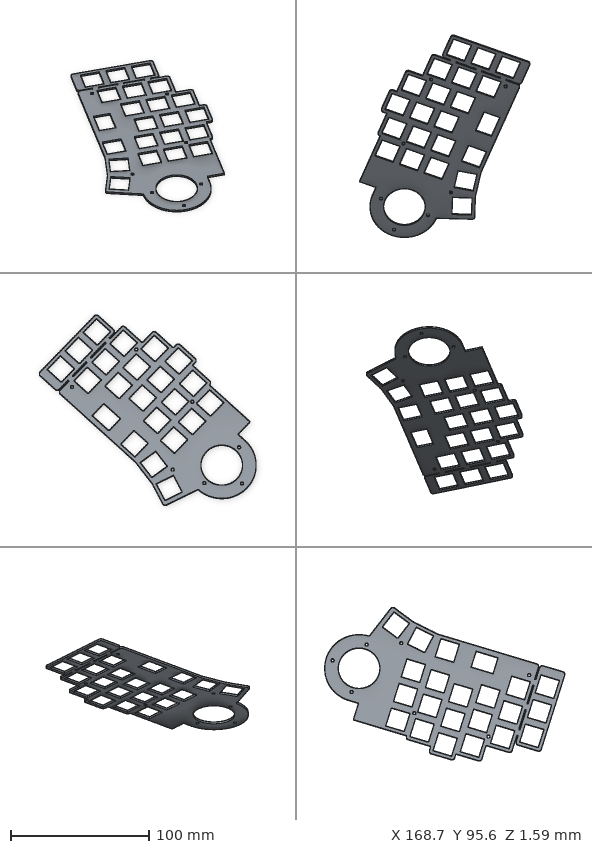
import cadquery as cq
import math

overall_length = 168.7
thickness = 1.59
corner_radius = 2.0
screw_diameter = 2.2

key_size = 14.0
rim = 2.5
key_pitch = 19.0
keys_per_column = 3
cell = key_size + 2 * rim
half_cell = cell / 2

strip_height = 61.6
strip_gap = 0.8
bridge_width = 4.5
bridge_heights = [13.7, 32.5, 52.6]

main_left = cell + strip_gap
column_tops = [68.7, 81.2, 86.2, 81.2, 78.8]
column_lefts = [main_left + i * key_pitch for i in range(len(column_tops))]

wide_opening_center = (58.2, 10.1)
wide_opening_size = (16.5, 12.3)
straight_key_center = (column_lefts[3] + half_cell, half_cell)
inner_thumb_center = (107.5, 7.8)
inner_thumb_angle = 10
outer_thumb_center = (127.7, 2.5)
outer_thumb_angle = 20

ring_radius = 25.0
ring_opening_radius = 15.0
ring_x = overall_length - ring_radius
ring_y = 41.0
ring_left = 136.5
ring_screw_offset_x = 20.0
ring_screw_offset_y = 18.4

plate_screws = [(24.6, 9.6), (39.3, 62.0), (95.7, 61.0), (120.1, 14.2)]
ring_screws = [
    (ring_x, ring_y + ring_screw_offset_y),
    (ring_x, ring_y - ring_screw_offset_y),
    (ring_x + ring_screw_offset_x, ring_y),
]


def turned(center, angle, right, up):
    """Point at (right, up) from a center, in axes turned clockwise by the angle in degrees."""
    a = math.radians(angle)
    x = center[0] + right * math.cos(a) + up * math.sin(a)
    y = center[1] - right * math.sin(a) + up * math.cos(a)
    return (x, y)


def crossing(point_a, angle_a, point_b, angle_b):
    """Crossing of two lines, each through a point and falling to the right at its angle in degrees."""
    fall_a = math.tan(math.radians(angle_a))
    fall_b = math.tan(math.radians(angle_b))
    x = (point_b[1] - point_a[1] + fall_b * point_b[0] - fall_a * point_a[0]) / (fall_b - fall_a)
    return (x, point_a[1] - (x - point_a[0]) * fall_a)


def rounded(plate, points):
    """Round the upright edges that stand at the given outline points."""
    for x, y in points:
        edge = cq.selectors.NearestToPointSelector((x, y, thickness / 2))
        plate = plate.edges("|Z").edges(edge).fillet(corner_radius)
    return plate


def cutter(center, width, height, angle=0):
    """Rectangular through cutter turned clockwise by the angle."""
    block = cq.Workplane("XY").rect(width, height).extrude(thickness)
    return block.rotate((0, 0, 0), (0, 0, 1), -angle).translate((*center, 0))


def key_column(left, top):
    """Key openings stacked downward from a column's top edge."""
    openings = cq.Workplane("XY")
    for row in range(keys_per_column):
        center = (left + half_cell, top - half_cell - row * key_pitch)
        openings = openings.add(cutter(center, key_size, key_size))
    return openings


def main_plate():
    """Stepped plate with the round end and the sloping thumb edge."""
    thumb_foot = turned(inner_thumb_center, inner_thumb_angle, 0, -half_cell)
    tip_foot = turned(outer_thumb_center, outer_thumb_angle, 0, -half_cell)
    ring_foot = (ring_x, ring_y - ring_radius)
    slope_start = crossing(thumb_foot, inner_thumb_angle, (main_left, 0), 0)
    slope_bend = crossing(thumb_foot, inner_thumb_angle, tip_foot, outer_thumb_angle)
    tip = crossing(tip_foot, outer_thumb_angle, ring_foot, outer_thumb_angle - 90)

    rising_corners = list(zip(column_lefts[:3], column_tops[:3]))
    column_rights = [left + cell for left in column_lefts]
    falling_corners = list(zip(column_rights[2:4], column_tops[2:4]))

    outline = cq.Workplane("XY").moveTo(main_left, 0).vLineTo(column_tops[0])
    for left, top in rising_corners[1:]:
        outline = outline.hLineTo(left).vLineTo(top)
    for (right, top), next_top in zip(falling_corners, column_tops[3:]):
        outline = outline.hLineTo(right).vLineTo(next_top)
    outline = (
        outline.hLineTo(ring_left)
        .vLineTo(ring_y + ring_radius)
        .hLineTo(ring_x)
        .threePointArc((ring_x + ring_radius, ring_y), ring_foot)
        .lineTo(*tip)
        .lineTo(*slope_bend)
        .lineTo(*slope_start)
        .close()
    )
    corners = [(main_left, 0), tip] + rising_corners + falling_corners
    return rounded(outline.extrude(thickness), corners)


def strip():
    """Little-finger strip with its four corners rounded."""
    block = cq.Workplane("XY").rect(cell, strip_height, centered=False).extrude(thickness)
    return block.edges("|Z").fillet(corner_radius)


def bridges():
    """Short tabs across the gap, reaching into the rims on both sides."""
    tabs = cq.Workplane("XY")
    for y in bridge_heights:
        tabs = tabs.add(cutter((cell + strip_gap / 2, y), strip_gap + rim, bridge_width))
    return tabs


def key_openings():
    """All key openings: the columns and the bottom row."""
    openings = key_column(0, strip_height)
    for left, top in zip(column_lefts, column_tops):
        openings = openings.add(key_column(left, top))
    openings = openings.add(cutter(wide_opening_center, *wide_opening_size))
    openings = openings.add(cutter(straight_key_center, key_size, key_size))
    openings = openings.add(cutter(inner_thumb_center, key_size, key_size, inner_thumb_angle))
    return openings.add(cutter(outer_thumb_center, key_size, key_size, outer_thumb_angle))


def round_openings():
    """Large opening of the round end and the screw holes."""
    opening = cq.Workplane("XY").center(ring_x, ring_y).circle(ring_opening_radius).extrude(thickness)
    screws = cq.Workplane("XY").pushPoints(plate_screws + ring_screws)
    return opening.add(screws.circle(screw_diameter / 2).extrude(thickness))


body = main_plate().val().fuse(strip().val(), *bridges().vals())
body = body.cut(*key_openings().vals(), *round_openings().vals()).clean()
result = cq.Workplane("XY").newObject(body.Solids())